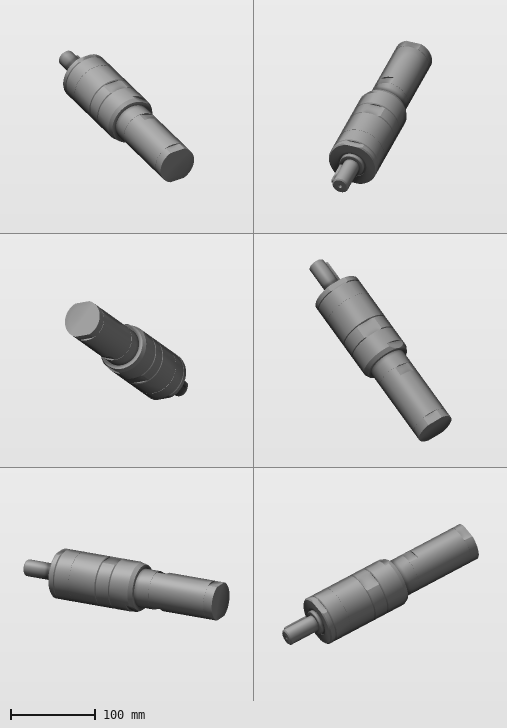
import cadquery as cq


collar_start = 39.5
flange_start = 43.25
body_start = 51.0
ring_start = 106.0
rear_body_start = 124.0
shoulder_step = 144.25
cone_start = 149.0
tail_start = 154.0
tail_flat_start = 173.5
tail_flat_end = 185.5
end_cap_start = 245.5
overall_length = 257.0

shaft_diameter = 20.0
collar_diameter = 29.95
recess_diameter = 35.0
body_diameter = 60.0
cone_end_diameter = 55.16
tail_diameter = 46.0

tip_chamfer = 1.5
collar_chamfer = 0.75
flange_front_chamfer = 1.5
joint_chamfer = 1.0
recess_depth = 1.0
groove_width = 0.7
groove_depth = 0.25
body_groove_start = 70.75

center_hole_diameter = 1.6
center_hole_depth = 5.0
countersink_diameter = 5.0
countersink_angle = 60.0

key_start = 4.9
key_length = 32.0
key_width = 6.0
key_height = 6.0
key_top = 12.5

body_flat_span = 55.0
vertical_angle = 90.0
shoulder_flat_angle = 55.0
tail_flat_span = 42.0
tail_flat_angle = 70.5


def cylinder(start, end, diameter):
    return cq.Workplane("YZ", origin=(start, 0, 0)).circle(diameter / 2).extrude(end - start)


def revolve_outline(outline):
    """Turn a closed (X, radius) outline about the motor axis."""
    profile = cq.Workplane("XY").polyline(outline).close()
    return profile.revolve(360, (0, 0, 0), (1, 0, 0))


def ring(start, end, outer_diameter, inner_diameter):
    profile = cq.Workplane("YZ", origin=(start, 0, 0)).circle(outer_diameter / 2)
    return profile.circle(inner_diameter / 2).extrude(end - start)


def cut_flats(part, start, end, span, angle):
    """Cut a pair of opposite flats between two stations."""
    length = end - start
    for side in (0, 180):
        cutter = (
            cq.Workplane("XY")
            .box(length, body_diameter, body_diameter, centered=(False, False, True))
            .translate((start, span / 2, 0))
            .rotate((0, 0, 0), (1, 0, 0), angle + side)
        )
        part = part.cut(cutter)
    return part


def make_shaft():
    tip_radius = shaft_diameter / 2 - tip_chamfer
    radius = shaft_diameter / 2
    outline = [
        (0, 0),
        (0, tip_radius),
        (tip_chamfer, radius),
        (body_start, radius),
        (body_start, 0),
    ]
    shaft = revolve_outline(outline)
    return shaft.faces("<X").workplane(origin=(0, 0, 0)).cskHole(
        center_hole_diameter, countersink_diameter, countersink_angle, center_hole_depth
    )


def make_key():
    return (
        cq.Workplane("XZ", origin=(key_start + key_length / 2, key_top, 0))
        .slot2D(key_length, key_width)
        .extrude(key_height)
    )


def make_collar():
    return cylinder(collar_start, body_start, collar_diameter).faces("<X").chamfer(collar_chamfer)


def make_flange():
    flange = cylinder(flange_start, body_start, body_diameter)
    flange = flange.faces("<X").chamfer(flange_front_chamfer).faces(">X").chamfer(joint_chamfer)
    flange = flange.cut(cylinder(flange_start, flange_start + recess_depth, recess_diameter))
    return cut_flats(flange, flange_start, body_start, body_flat_span, vertical_angle)


def make_body():
    body = cylinder(body_start, ring_start, body_diameter)
    return body.faces("<X or >X").chamfer(joint_chamfer)


def make_wrench_ring():
    wrench_ring = cylinder(ring_start, rear_body_start, body_diameter)
    wrench_ring = wrench_ring.faces("<X or >X").chamfer(joint_chamfer)
    return cut_flats(wrench_ring, ring_start, rear_body_start, body_flat_span, vertical_angle)


def make_rear_body():
    """Rear body with a conical shoulder that carries two flats."""
    radius = body_diameter / 2
    outline = [
        (rear_body_start, 0),
        (rear_body_start, radius - joint_chamfer),
        (rear_body_start + joint_chamfer, radius),
        (cone_start, radius),
        (tail_start, cone_end_diameter / 2),
        (tail_start, 0),
    ]
    body = revolve_outline(outline)
    return cut_flats(body, shoulder_step, tail_start, body_flat_span, shoulder_flat_angle)


def make_tail():
    tail = cylinder(tail_start, overall_length, tail_diameter)
    tail = cut_flats(tail, tail_flat_start, tail_flat_end, tail_flat_span, tail_flat_angle)
    return cut_flats(tail, end_cap_start, overall_length, tail_flat_span, vertical_angle)


def cut_groove(part, start, diameter):
    """Cut a shallow ring groove where two housing sections meet."""
    floor = diameter - 2 * groove_depth
    return part.cut(ring(start, start + groove_width, 2 * body_diameter, floor))


result = make_shaft()
for section in (
    make_key(),
    make_collar(),
    make_flange(),
    make_body(),
    make_wrench_ring(),
    make_rear_body(),
    make_tail(),
):
    result = result.union(section)

result = cut_groove(result, body_groove_start, body_diameter)
for groove_start in (tail_flat_start - groove_width, end_cap_start):
    result = cut_groove(result, groove_start, tail_diameter)